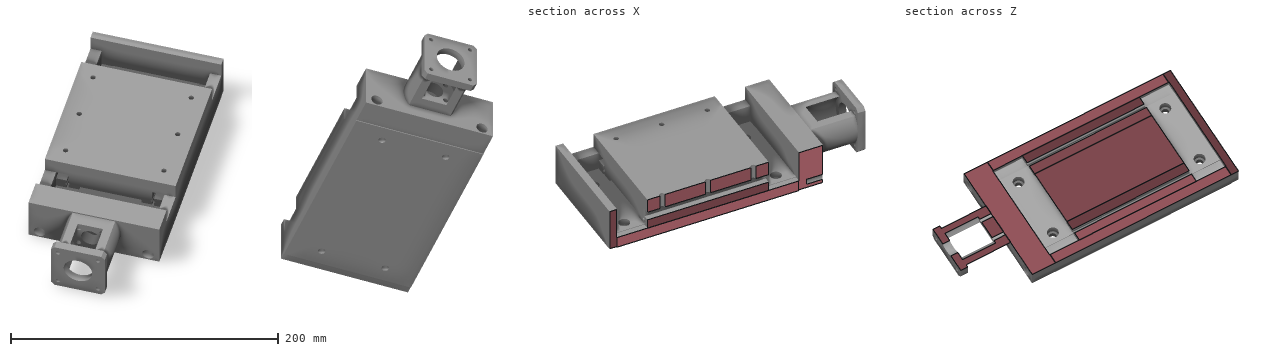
import cadquery as cq


width = 101.5
base_length = 152.5
base_height = 24.1
wall_thickness = 8.7
floor_height = 10.0
table_length = width
table_top = 36.5
table_bottom = 13.2

rail_width = 8.3
rail_height = 7.8
rail_gap = 1.3
rail_seat_height = 9.5
rail_lift = 0.7
groove_depth = 1.3

wall_inside_x = width / 2 - wall_thickness
base_rail_inside_x = wall_inside_x - rail_width
table_rail_outside_x = base_rail_inside_x - rail_gap
table_rail_inside_x = table_rail_outside_x - rail_width
table_rail_bottom = rail_seat_height + rail_lift
table_rail_top = table_rail_bottom + rail_height

base_hole_spacing_x = 51.0
base_hole_spacing_y = 127.0
table_hole_spacing = 38.2
table_hole_diameter = 4.0
screw_hole_diameter = 5.5
screw_head_diameter = 9.0
screw_head_depth = 5.5

end_bottom = 0.7
plate_thickness = 6.3
block_length = 20.0
block_hole_inset = 8.7
block_hole_height = 6.3
block_head_depth = 13.5

mount_top = 43.5
mount_length = 44.5
mount_wall = 9.8
mount_diameter = 41.5
mount_cavity_diameter = 32.0
mount_flat_height = 25.2
shaft_bore_diameter = 14.3
mount_screw_spacing_x = 18.3
mount_screw_spacing_z = 15.6
mount_screw_diameter = 4.0
flange_size = 41.8
flange_thickness = 6.3
flange_chamfer = 2.7
pilot_diameter = 22.0
motor_screw_spacing = 31.0
motor_screw_diameter = 3.3

motor_axis_height = mount_top - flange_size / 2
block_back_y = -base_length / 2
block_front_y = block_back_y - block_length
mount_front_y = block_front_y - mount_length
flange_back_y = mount_front_y + flange_thickness


def box(x_range, y_range, z_range):
    """Axis-aligned box given by its limits along each axis."""
    sizes = [high - low for low, high in (x_range, y_range, z_range)]
    return cq.Workplane("XY").box(*sizes, centered=False).translate((x_range[0], y_range[0], z_range[0]))


def centered_box(box_width, y_range, z_range):
    """Box that is symmetric about X = 0."""
    return box((-box_width / 2, box_width / 2), y_range, z_range)


def section_at(y):
    """Workplane facing -Y at the given Y, with its origin on Z = 0; extruding by -d goes towards +Y."""
    return cq.Workplane("XZ", origin=(0, y, 0))


def motor_plane(y):
    """Workplane facing -Y at the given Y, centred on the motor axis."""
    return cq.Workplane("XZ", origin=(0, y, motor_axis_height))


def make_base():
    """Channel with a rail seat along each wall and four counterbored mounting holes."""
    ends = (-base_length / 2, base_length / 2)
    base = centered_box(width, ends, (0, base_height))
    base = base.cut(centered_box(2 * wall_inside_x, ends, (floor_height, base_height)))
    for x_range in ((-wall_inside_x, -base_rail_inside_x), (base_rail_inside_x, wall_inside_x)):
        base = base.cut(box(x_range, ends, (rail_seat_height, floor_height)))
    head_bottom = floor_height - screw_head_depth
    for diameter, bottom in ((screw_hole_diameter, 0), (screw_head_diameter, head_bottom)):
        holes = (
            cq.Workplane("XY", origin=(0, 0, bottom))
            .rarray(base_hole_spacing_x, base_hole_spacing_y, 2, 2)
            .circle(diameter / 2)
            .extrude(floor_height - bottom)
        )
        base = base.cut(holes)
    return base


def make_table():
    """Plate with a narrower keel whose side steps carry the table rails."""
    ends = (-table_length / 2, table_length / 2)
    table = centered_box(width, ends, (base_height, table_top))
    table = table.union(centered_box(2 * table_rail_outside_x, ends, (table_rail_top, base_height)))
    table = table.union(centered_box(2 * table_rail_inside_x, ends, (table_bottom, table_rail_top)))
    holes = (
        cq.Workplane("XY", origin=(0, 0, base_height))
        .rarray(2 * table_hole_spacing, table_hole_spacing, 2, 3)
        .circle(table_hole_diameter / 2)
        .extrude(table_top - base_height)
    )
    return table.cut(holes)


def make_rail(back_x, groove_x, bottom):
    """Rail from its flat back to its V-grooved side, as long as the table."""
    groove_height = bottom + rail_height / 2
    toward_back = 1 if back_x > groove_x else -1
    outline = [
        (back_x, bottom),
        (groove_x, bottom),
        (groove_x, groove_height - groove_depth),
        (groove_x + toward_back * groove_depth, groove_height),
        (groove_x, groove_height + groove_depth),
        (groove_x, bottom + rail_height),
        (back_x, bottom + rail_height),
    ]
    return section_at(-table_length / 2).polyline(outline).close().extrude(-table_length)


def make_end_plate():
    """Plain plate that closes the end away from the motor."""
    back_y = base_length / 2
    return centered_box(width, (back_y, back_y + plate_thickness), (end_bottom, table_top))


def make_block():
    """Bearing block with two counterbored screw holes along Y."""
    block = centered_box(width, (block_front_y, block_back_y), (end_bottom, table_top))
    hole_x = width / 2 - block_hole_inset
    centers = [(-hole_x, block_hole_height), (hole_x, block_hole_height)]
    for diameter, depth in ((screw_hole_diameter, block_length), (screw_head_diameter, block_head_depth)):
        holes = section_at(block_front_y).pushPoints(centers).circle(diameter / 2).extrude(-depth)
        block = block.cut(holes)
    return block


def make_motor_mount():
    """Hollow round housing with flats that open its cavity above and below, and a square motor flange."""
    tube_length = mount_length - flange_thickness
    cavity_length = tube_length - mount_wall
    tube = motor_plane(flange_back_y).circle(mount_diameter / 2).extrude(-tube_length)
    flats = motor_plane(flange_back_y).rect(mount_diameter, mount_flat_height).extrude(-tube_length)
    cavity = motor_plane(flange_back_y).circle(mount_cavity_diameter / 2).extrude(-cavity_length)
    flange = (
        motor_plane(mount_front_y)
        .rect(flange_size, flange_size)
        .extrude(-flange_thickness)
        .edges("|Y")
        .chamfer(flange_chamfer)
    )
    mount = tube.intersect(flats).cut(cavity).union(flange)

    shaft_bore = motor_plane(mount_front_y).circle(shaft_bore_diameter / 2).extrude(-mount_length)
    pilot = motor_plane(mount_front_y).circle(pilot_diameter / 2).extrude(-flange_thickness)
    motor_screws = (
        motor_plane(mount_front_y)
        .rarray(motor_screw_spacing, motor_screw_spacing, 2, 2)
        .circle(motor_screw_diameter / 2)
        .extrude(-flange_thickness)
    )
    wall_screws = (
        motor_plane(block_front_y - mount_wall)
        .rarray(mount_screw_spacing_x, mount_screw_spacing_z, 2, 2)
        .circle(mount_screw_diameter / 2)
        .extrude(-mount_wall)
    )
    return mount.cut(shaft_bore).cut(pilot).cut(motor_screws).cut(wall_screws)


base = make_base()
table = make_table()
end_plate = make_end_plate()
block = make_block()
motor_mount = make_motor_mount()
base_rails = []
table_rails = []
for side in (-1, 1):
    base_rails.append(make_rail(side * wall_inside_x, side * base_rail_inside_x, rail_seat_height))
    table_rails.append(make_rail(side * table_rail_inside_x, side * table_rail_outside_x, table_rail_bottom))

result = cq.Compound.makeCompound(
    [
        base.val(),
        table.val(),
        end_plate.val(),
        block.val(),
        motor_mount.val(),
        *[rail.val() for rail in base_rails + table_rails],
    ]
)